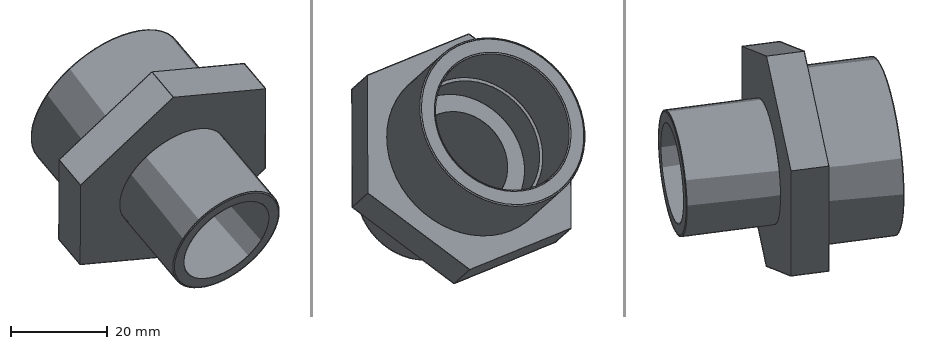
import cadquery as cq

total_length = 45.0
socket_body_length = 17.0
collar_thickness = 8.0
socket_body_diameter = 37.4
spigot_diameter = 26.45
bore_diameter = 21.15
hexagon_corner_diameter = 53.1
hexagon_tilt = 0.23

socket_diameter = 30.3
inner_socket_diameter = 28.8
socket_depth = 13.6
inner_socket_depth = 21.25

edge_break_width = 0.3
edge_break_length = 0.15

collar_end = socket_body_length + collar_thickness


def make_body():
    """Turned outside with both end rims chamfered."""
    socket_body = (
        cq.Workplane("YZ")
        .circle(socket_body_diameter / 2)
        .extrude(socket_body_length)
        .faces("<X").chamfer(edge_break_length, edge_break_width)
    )
    spigot = (
        cq.Workplane("YZ", origin=(collar_end, 0, 0))
        .circle(spigot_diameter / 2)
        .extrude(total_length - collar_end)
        .faces(">X").chamfer(edge_break_length, edge_break_width)
    )
    collar = (
        cq.Workplane("YZ", origin=(socket_body_length, 0, 0))
        .polygon(6, hexagon_corner_diameter)
        .extrude(collar_thickness)
        .rotate((0, 0, 0), (1, 0, 0), 90 - hexagon_tilt)
    )
    return socket_body.union(collar).union(spigot)


def make_cavity():
    """Broken mouth edge, stepped socket and through bore, revolved about X."""
    socket_radius = socket_diameter / 2
    inner_socket_radius = inner_socket_diameter / 2
    bore_radius = bore_diameter / 2
    return (
        cq.Workplane("XY")
        .moveTo(0, 0)
        .lineTo(0, socket_radius + edge_break_width)
        .lineTo(edge_break_length, socket_radius)
        .lineTo(socket_depth, socket_radius)
        .lineTo(socket_depth, inner_socket_radius)
        .lineTo(inner_socket_depth, inner_socket_radius)
        .lineTo(inner_socket_depth, bore_radius)
        .lineTo(total_length, bore_radius)
        .lineTo(total_length, 0)
        .close()
        .revolve(360, (0, 0, 0), (1, 0, 0))
    )


result = make_body().cut(make_cavity())